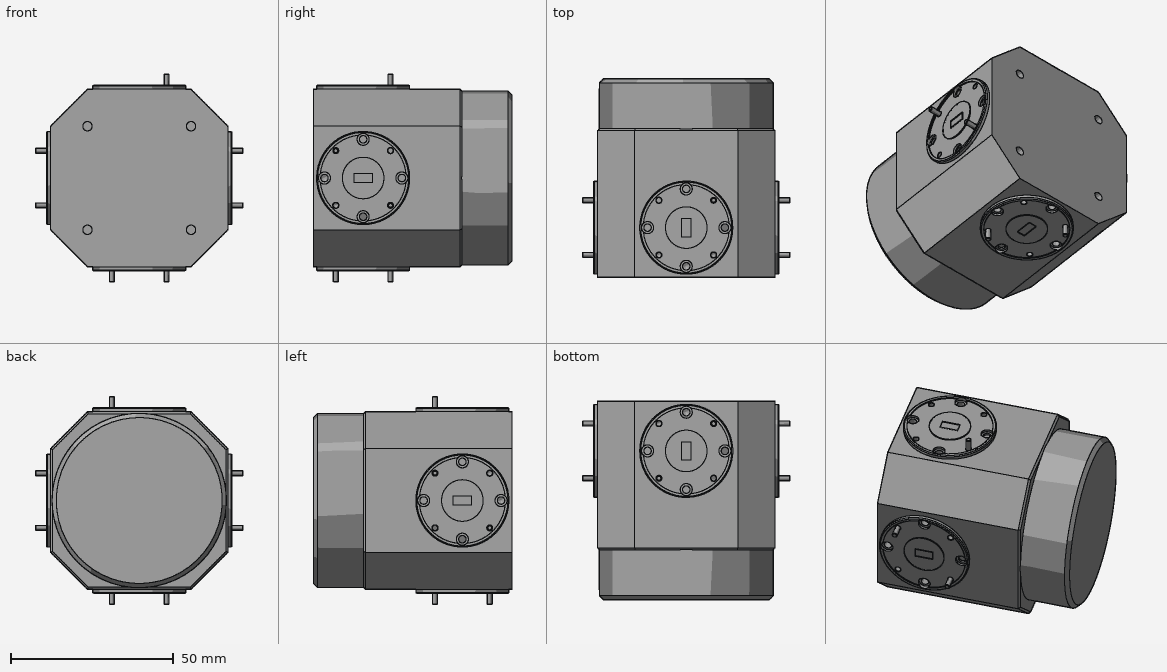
import cadquery as cq
import math


span = 63.9
overall_length = 61.0

body_width = 54.55
body_length = 45.7
corner_cut = 11.4
body_rear_chamfer = 0.65
mount_hole_diameter = 2.9
mount_hole_depth = 6.4
mount_hole_spacing = body_width - 2 * corner_cut

housing_radius = 26.75
housing_rear_chamfer = 1.3
housing_front = 12.8

port_y = 15.25
flange_radius = 14.3
flange_thickness = 1.3
flange_chamfer = 0.3
rim_inner_radius = 13.2
boss_radius = 6.4
relief_depth = 0.4
waveguide_width = 2.8
waveguide_length = 5.6
waveguide_depth = 0.3

pitch_radius = 11.9
bolt_hole_radius = 1.15
counterbore_radius = 1.85
counterbore_depth = 0.75
alignment_hole_radius = 0.8
pin_diameter = 1.6
pin_radius = pin_diameter / 2
alignment_hole_chamfer = 0.1
pin_hole_chamfer = 0.1
pin_tip_chamfer = 0.2
bolt_angles = (0, 90, 180, 270)
alignment_angles = (135, 315)
rear_pin_angle = 45
front_pin_angle = 225
hole_depth = 5.75
drill_point_angle = 118.0

flange_base = body_width / 2
flange_face = flange_base + flange_thickness
relief_face = flange_face - relief_depth
pin_tip = span / 2
pin_bottom = relief_face - hole_depth - pin_radius
port_angles = (0, 90, 180, 270)


def cylinder(radius, bottom, top, x=0.0, y=0.0):
    """Upright cylinder between two heights."""
    return cq.Workplane("XY", origin=(x, y, bottom)).circle(radius).extrude(top - bottom)


def on_pitch_circle(angle):
    """Point on the pitch circle of the top port, with the angle measured from +X."""
    turn = math.radians(angle)
    return pitch_radius * math.cos(turn), port_y + pitch_radius * math.sin(turn)


def drilled_hole(radius, angle):
    """Blind hole with a conical bottom, on the pitch circle of the top port."""
    point_length = radius / math.tan(math.radians(drill_point_angle / 2))
    floor = relief_face - hole_depth
    profile = [(0, relief_face), (radius, relief_face), (radius, floor), (0, floor - point_length)]
    hole = cq.Workplane("XZ").polyline(profile).close().revolve(360, (0, 0), (0, 1))
    x, y = on_pitch_circle(angle)
    return hole.translate((x, y, 0))


def chamfered_hole(radius, angle, mouth_chamfer):
    """Drilled hole with a 45 degree chamfer around its mouth."""
    x, y = on_pitch_circle(angle)
    mouth_radius = radius + mouth_chamfer
    mouth_point = cq.Vector(x, y, relief_face)
    mouth = cq.Solid.makeCone(mouth_radius, radius, mouth_chamfer, mouth_point, cq.Vector(0, 0, -1))
    return drilled_hole(radius, angle).union(mouth)


def turned_to_port(shape, angle):
    """Move a shape made for the top port to another port."""
    return shape.rotate((0, 0, 0), (0, 1, 0), angle)


def make_body():
    body = (
        cq.Workplane("XZ")
        .rect(body_width, body_width)
        .extrude(-body_length)
        .edges("|Y")
        .chamfer(corner_cut)
        .faces(">Y")
        .chamfer(body_rear_chamfer)
    )
    mount_holes = (
        cq.Workplane("XZ")
        .rect(mount_hole_spacing, mount_hole_spacing, forConstruction=True)
        .vertices()
        .circle(mount_hole_diameter / 2)
        .extrude(-mount_hole_depth)
    )
    return body.cut(mount_holes)


def make_housing():
    return (
        cq.Workplane("XZ", origin=(0, housing_front, 0))
        .circle(housing_radius)
        .extrude(housing_front - overall_length)
        .faces(">Y")
        .chamfer(housing_rear_chamfer)
    )


def make_flange():
    """Flange of the top port, relieved between its rim and the central boss."""
    disc = cylinder(flange_radius, flange_base, flange_face, y=port_y).faces(">Z").chamfer(flange_chamfer)
    relief = cylinder(rim_inner_radius, relief_face, flange_face, y=port_y)
    boss = cylinder(boss_radius, relief_face, flange_face, y=port_y)
    waveguide = (
        cq.Workplane("XY", origin=(0, port_y, flange_face))
        .rect(waveguide_width, waveguide_length)
        .extrude(-waveguide_depth)
    )
    return disc.cut(relief).union(boss).cut(waveguide)


def make_port_holes():
    """Bolt holes, counterbores, alignment holes and pin holes of the top port."""
    holes = cq.Workplane("XY")
    for angle in bolt_angles:
        x, y = on_pitch_circle(angle)
        holes = holes.add(drilled_hole(bolt_hole_radius, angle))
        holes = holes.add(cylinder(counterbore_radius, relief_face - counterbore_depth, flange_face, x, y))
    for angle in alignment_angles:
        holes = holes.add(chamfered_hole(alignment_hole_radius, angle, alignment_hole_chamfer))
    for angle in (rear_pin_angle, front_pin_angle):
        holes = holes.add(chamfered_hole(pin_radius, angle, pin_hole_chamfer))
    return holes.combine()


def make_pin(angle):
    """Dowel pin of the top port, which fills its hole past the drill point."""
    x, y = on_pitch_circle(angle)
    return cylinder(pin_radius, pin_bottom, pin_tip, x, y).faces(">Z").chamfer(pin_tip_chamfer)


result = make_body()
for port_angle in port_angles:
    result = result.union(turned_to_port(make_flange(), port_angle))
for port_angle in port_angles:
    result = result.cut(turned_to_port(make_port_holes(), port_angle))

result = result.union(make_housing())

for port_angle in port_angles:
    result = result.union(turned_to_port(make_pin(rear_pin_angle), port_angle))

for port_angle in port_angles[1:]:
    result = result.union(turned_to_port(make_pin(front_pin_angle), port_angle))